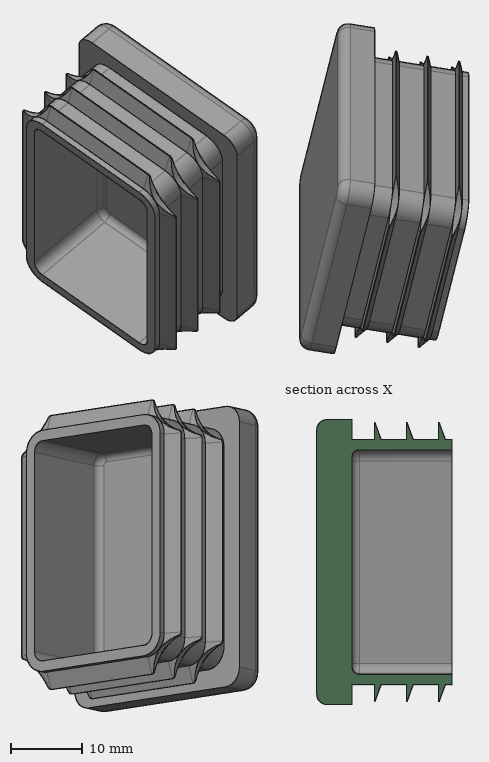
import cadquery as cq
import math

head_width = 30.0
head_height = 40.0
head_thickness = 5.0
head_corner_radius = 2.5
head_edge_fillet = 1.5

body_width = 24.4
body_height = 34.4
body_length = 14.0
body_corner_radius = 3.0
wall_thickness = 1.5
pocket_depth = 14.0
pocket_floor_fillet = 1.0

fin_count = 3
fin_pitch = 4.5
first_fin_distance = 3.1
fin_projection = 2.35
fin_root_thickness = 1.0
fin_tip_thickness = 0.1
fin_relief_radius = 7.0
fin_relief_clearance = 0.05
fin_end_fillet = 0.5


def rounded_block(width, height, corner_radius, y_start, length):
    """Block with rounded corners, reaching from y_start towards -Y."""
    return (
        cq.Workplane("XZ", origin=(0, y_start, 0))
        .rect(width, height)
        .extrude(length)
        .edges("|Y")
        .fillet(corner_radius)
    )


def make_head():
    head = rounded_block(head_width, head_height, head_corner_radius, head_thickness, head_thickness)
    return head.faces(">Y").edges().fillet(head_edge_fillet)


def make_body():
    return rounded_block(body_width, body_height, body_corner_radius, 0, body_length)


def make_pocket():
    pocket = rounded_block(
        body_width - 2 * wall_thickness,
        body_height - 2 * wall_thickness,
        body_corner_radius - wall_thickness,
        pocket_depth - body_length,
        pocket_depth,
    )
    return pocket.faces(">Y").edges().fillet(pocket_floor_fillet)


def make_fin(y_flat):
    """Fin with its flat side at y_flat and its sloped side facing -Y."""
    width = body_width + 2 * fin_projection
    height = body_height + 2 * fin_projection
    corner_radius = body_corner_radius + fin_projection
    slope_length = fin_root_thickness - fin_tip_thickness
    slope_angle = math.degrees(math.atan2(fin_projection, slope_length))

    rim = rounded_block(width, height, corner_radius, y_flat, fin_tip_thickness)
    slope = rim.faces("<Y").wires().toPending().workplane().extrude(
        slope_length, taper=slope_angle, combine=False
    )
    ring = rim.union(slope)

    relief_reach = body_corner_radius + fin_relief_clearance + fin_relief_radius
    relief_offset = relief_reach * math.sqrt(0.5) - body_corner_radius
    outline = cq.Workplane("XZ", origin=(0, y_flat, 0)).rect(width, height).extrude(fin_root_thickness)
    reliefs = (
        cq.Workplane("XZ", origin=(0, y_flat, 0))
        .rect(body_width + 2 * relief_offset, body_height + 2 * relief_offset, forConstruction=True)
        .vertices()
        .circle(fin_relief_radius)
        .extrude(fin_root_thickness)
    )
    outline = outline.cut(reliefs).edges("|Y").fillet(fin_end_fillet)
    return ring.intersect(outline)


result = make_head().union(make_body())
for fin_index in range(fin_count):
    result = result.union(make_fin(-first_fin_distance - fin_index * fin_pitch))
result = result.cut(make_pocket())